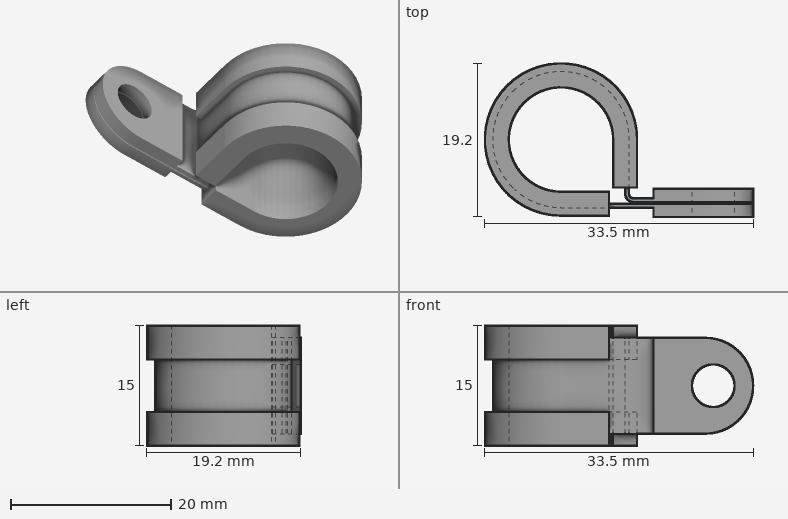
import cadquery as cq

cushion_radius = 9.5
cushion_thickness = 3.0
cushion_width = 15.0
leg_length = 6.0

band_radius = 8.5
band_thickness = 0.5
band_width = 12.0
groove_width = 6.5
bend_inner_radius = 0.5

tab_gap = 0.2
tab_thickness = 1.68
tab_start_x = 11.52
tab_end_x = 33.5 - cushion_radius
hole_x = 19.0
hole_diameter = 5.3

band_inner_radius = band_radius - band_thickness
lower_inner_y = -band_inner_radius
upper_inner_y = lower_inner_y + tab_gap
tab_end_radius = band_width / 2


def loop_strip(outer_radius, thickness, width):
    """Three-quarter ring with one straight leg along -Y and one along +X."""
    inner_radius = outer_radius - thickness
    arc_share = 0.5 ** 0.5
    outer_mid = outer_radius * arc_share
    inner_mid = inner_radius * arc_share
    return (
        cq.Workplane("XY")
        .moveTo(outer_radius, -leg_length)
        .lineTo(outer_radius, 0)
        .threePointArc((-outer_mid, outer_mid), (0, -outer_radius))
        .lineTo(leg_length, -outer_radius)
        .lineTo(leg_length, -inner_radius)
        .lineTo(0, -inner_radius)
        .threePointArc((-inner_mid, inner_mid), (inner_radius, 0))
        .lineTo(inner_radius, -leg_length)
        .close()
        .extrude(width / 2, both=True)
    )


def plate(x_start, x_end, y_start, y_end):
    """Rectangular plate of band width, centred on Z = 0."""
    return (
        cq.Workplane("XY")
        .moveTo(x_start, y_start)
        .lineTo(x_end, y_start)
        .lineTo(x_end, y_end)
        .lineTo(x_start, y_end)
        .close()
        .extrude(band_width / 2, both=True)
    )


def upper_bend():
    """Band leaving the -Y leg and turning through a rounded corner toward +X."""
    outer_radius = bend_inner_radius + band_thickness
    return (
        cq.Workplane("XY")
        .moveTo(band_inner_radius, -leg_length)
        .lineTo(band_inner_radius, upper_inner_y + outer_radius)
        .radiusArc((band_inner_radius + outer_radius, upper_inner_y), -outer_radius)
        .lineTo(tab_start_x, upper_inner_y)
        .lineTo(tab_start_x, upper_inner_y + band_thickness)
        .lineTo(band_radius + bend_inner_radius, upper_inner_y + band_thickness)
        .radiusArc((band_radius, upper_inner_y + outer_radius), bend_inner_radius)
        .lineTo(band_radius, -leg_length)
        .close()
        .extrude(band_width / 2, both=True)
    )


def tab(y_start, y_end):
    """Mounting tab with a fully rounded free end."""
    straight_end_x = tab_end_x - tab_end_radius
    round_end = (
        cq.Workplane("XZ", origin=(straight_end_x, y_end, 0))
        .circle(tab_end_radius)
        .extrude(y_end - y_start)
    )
    return plate(tab_start_x, straight_end_x, y_start, y_end).union(round_end)


cushion = loop_strip(cushion_radius, cushion_thickness, cushion_width)
groove = loop_strip(cushion_radius, cushion_radius - band_radius, groove_width)
clamp = cushion.cut(groove)

clamp = clamp.union(loop_strip(band_radius, band_thickness, band_width))
clamp = clamp.union(upper_bend())
clamp = clamp.union(plate(leg_length, tab_start_x, -band_radius, lower_inner_y))

clamp = clamp.union(tab(upper_inner_y, upper_inner_y + tab_thickness))
clamp = clamp.union(tab(lower_inner_y - tab_thickness, lower_inner_y))

bolt_hole = (
    cq.Workplane("XZ", origin=(hole_x, 0, 0))
    .circle(hole_diameter / 2)
    .extrude(2 * cushion_radius)
)
result = clamp.cut(bolt_hole)